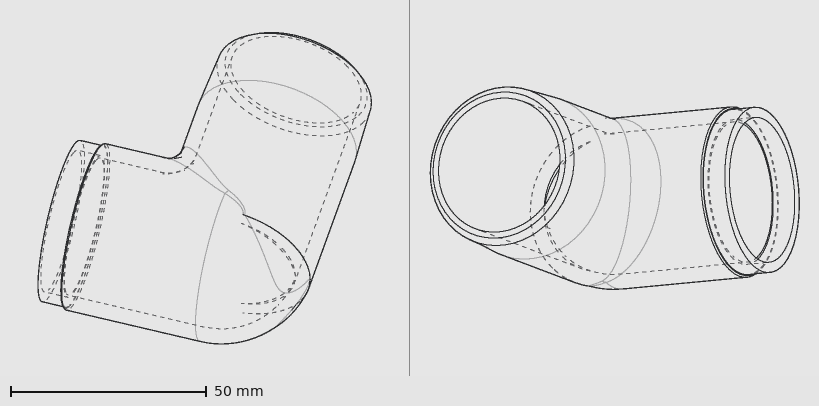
import cadquery as cq
import math


inlet_radius = 21.9
collar_radius = 21.2
inlet_end = -44.95
collar_length = 6.1
shoulder_chamfer = 0.4
mouth_bore_radius = 18.6
inlet_bore_radius = 18.0
dome_start = -2.9

outlet_radius = 21.3
outlet_bore_radius = 17.35
outlet_end = 60.0
spigot_length = 17.85
spigot_tip_radius = 20.55
spigot_chamfer = 1.6

dome_inset = 0.04

corner_radius = 5.7
bore_corner_radius = corner_radius + outlet_radius - outlet_bore_radius

shoulder = inlet_end + collar_length
spigot_start = outlet_end - spigot_length


def heel_point(depth, reach, x):
    """Point at the given x on the heel arc, which lies in the plane of both axes.

    The arc leaves the underside of the inlet tangentially at (dome_start, -depth)
    and ends at (reach, 0) on the outlet wall.
    """
    run = reach - dome_start
    radius = (run**2 + depth**2) / (2 * depth)
    centre_y = radius - depth
    return x, centre_y - math.sqrt(radius**2 - (x - dome_start) ** 2)


def domed_rod(start, radius, reach):
    """Rod along X whose +X end is the heel arc turned about the inlet axis."""
    arc_middle = heel_point(radius, reach, (dome_start + reach) / 2)
    rod = (
        cq.Workplane("XY")
        .moveTo(start, 0)
        .lineTo(start, -radius)
        .lineTo(dome_start, -radius)
        .threePointArc(arc_middle, (reach, 0))
        .close()
        .revolve(360, (0, 0, 0), (1, 0, 0))
    )
    return rod.rotate((0, 0, 0), (1, 0, 0), 90)


def rod_from_elbow(radius, end):
    """Rod along +Y, starting flat at the inlet axis."""
    return cq.Workplane("XZ").circle(radius).extrude(-end)


def outlet_dome(depth, reach):
    """Dome below the outlet rod: the heel arc turned about the outlet axis."""
    dome = (
        cq.Workplane("XY")
        .moveTo(0, 0)
        .lineTo(reach, 0)
        .threePointArc(heel_point(depth, reach, reach / 2), heel_point(depth, reach, 0))
        .close()
        .revolve(360, (0, 0, 0), (0, 1, 0))
    )
    return dome.rotate((0, 0, 0), (0, 1, 0), 180)


def rounded_legs(inlet, outlet, radius):
    """Inlet and outlet joined, with the inner corner between them rounded."""
    inner_corner = cq.selectors.BoxSelector(
        (-outlet_radius, 0, -inlet_radius),
        (dome_start - corner_radius, inlet_radius, inlet_radius),
    )
    return inlet.union(outlet).edges(inner_corner).fillet(radius)


def elbow_body():
    """Both main legs with the domed heel."""
    inlet = domed_rod(shoulder, inlet_radius, outlet_radius).faces("<X").chamfer(shoulder_chamfer)
    outlet = rod_from_elbow(outlet_radius, spigot_start)
    legs = rounded_legs(inlet, outlet, corner_radius)
    return legs.union(outlet_dome(inlet_radius - dome_inset, outlet_radius - dome_inset))


def collar():
    """Reduced collar at the inlet mouth."""
    return cq.Workplane("YZ", origin=(inlet_end, 0, 0)).circle(collar_radius).extrude(collar_length)


def spigot():
    """Tapered outlet end with a chamfered tip."""
    return (
        cq.Workplane("XY")
        .moveTo(0, spigot_start)
        .lineTo(outlet_radius, spigot_start)
        .lineTo(spigot_tip_radius, outlet_end - spigot_chamfer)
        .lineTo(spigot_tip_radius - spigot_chamfer, outlet_end)
        .lineTo(0, outlet_end)
        .close()
        .revolve(360, (0, 0, 0), (0, 1, 0))
    )


def bores():
    """Passage through the elbow with a wider counterbore at the inlet mouth."""
    mouth = cq.Workplane("YZ", origin=(inlet_end, 0, 0)).circle(mouth_bore_radius).extrude(collar_length)
    inlet_bore = domed_rod(inlet_end, inlet_bore_radius, outlet_bore_radius)
    outlet_bore = rod_from_elbow(outlet_bore_radius, outlet_end)
    return rounded_legs(inlet_bore, outlet_bore, bore_corner_radius).union(mouth)


result = elbow_body().union(collar()).union(spigot()).cut(bores())